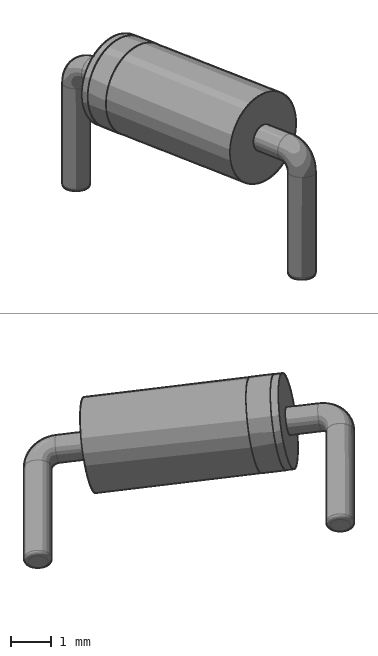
import cadquery as cq

overall_length = 8.32
body_length = 5.0
body_diameter = 2.4

band_diameter = 2.405
band_width = 0.615
band_inset = 0.2

lead_diameter = 0.7
bend_radius = 0.5
leg_depth = 3.33
tip_round = 0.1

lead_radius = lead_diameter / 2
body_end = body_length / 2
leg_x = overall_length / 2 - lead_radius
bend_start_x = leg_x - bend_radius


def x_cylinder(start_x, length, diameter):
    """Cylinder on the body axis, growing toward +X from start_x."""
    return cq.Workplane("YZ", origin=(start_x, 0, 0)).circle(diameter / 2).extrude(length)


def right_lead():
    """Wire that leaves the body along +X, bends down and ends in a rounded tip."""
    straight = x_cylinder(0, bend_start_x, lead_diameter)
    bend = (
        cq.Workplane("YZ", origin=(bend_start_x, 0, 0))
        .circle(lead_radius)
        .revolve(90, (-0.08, -bend_radius, 0), (0.08, -bend_radius, 0))
    )
    leg = (
        cq.Workplane("XY", origin=(leg_x, 0, -leg_depth))
        .circle(lead_radius)
        .extrude(leg_depth - bend_radius)
        .faces("<Z")
        .edges()
        .fillet(tip_round)
    )
    return straight.union(bend).union(leg)


body = x_cylinder(-body_end, body_length, body_diameter)
band = x_cylinder(-body_end + band_inset, band_width, band_diameter)
lead = right_lead()

result = body.union(band).union(lead).union(lead.mirror("YZ"))